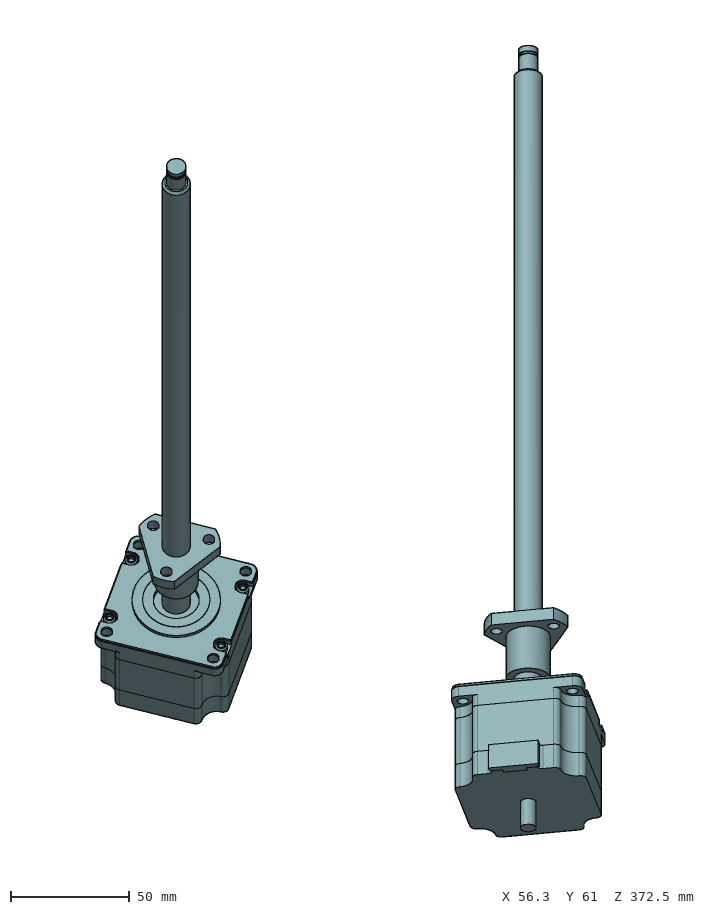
import cadquery as cq
import math

motor_width = 56.3
half_width = motor_width / 2
motor_bottom = 12.3
rear_cover_top = 23.5
front_cover_bottom = 45.5
motor_top = 56.5
flange_thickness = 6.0
flange_bottom = motor_top - flange_thickness
flange_corner_radius = 3.7

plate_thickness = 1.0
plate_inset = 0.5
plate_bottom = motor_top - plate_thickness

wall_half_length = 16.5
lobe_radius = 2.5

pilot_radius = 18.5
pilot_height = 1.5
pilot_top = motor_top + pilot_height
pilot_ring_radius = 14.0
pilot_ring_depth = 0.2
bore_radius = 9.7
bore_depth = 2.2
mount_hole_diameter = 5.0
mount_hole_offset = 23.5
tapped_hole_diameter = 4.5
tapped_hole_depth = 4.5
tapped_hole_near = 9.5
tapped_hole_far = 23.0

screw_x = 24.5
screw_y = 15.5
screw_slot_radius = 3.5
screw_slot_depth = 3.5
screw_head_radius = 2.5
screw_head_height = 3.0
screw_head_chamfer = 0.7
screw_socket_width = 2.5
screw_socket_depth = 1.5

connector_width = 21.2
boss_width = 19.5
overall_depth = 61.0
connector_face = overall_depth - half_width
connector_back = 30.0
connector_height = rear_cover_top - motor_bottom
tongue_width = 10.5
boss_fillet = connector_back - half_width

shaft_top = 372.5
lead_screw_radius = 6.0
lead_screw_top = 361.0
lead_screw_bottom = pilot_top - bore_depth
lead_screw_chamfer = 1.0
journal_radius = 4.0
groove_radius = 3.7
groove_width = 1.0
groove_top = 370.0
rear_shaft_radius = 3.5

nut_bottom = 71.5
nut_flange_bottom = 91.5
nut_flange_top = 97.2
nut_sleeve_radius = 9.5
nut_flange_radius = 18.5
nut_flat_distance = 13.0
nut_hole_circle_radius = 14.0
nut_hole_diameter = 5.0
nut_hole_angles = (30, 150, 270)


def cylinder(radius, bottom, top):
    return cq.Workplane("XY").workplane(offset=bottom).circle(radius).extrude(top - bottom)


def corners(x, y):
    return [(sx * x, sy * y) for sx in (-1, 1) for sy in (-1, 1)]


def fluted_block(bottom, top):
    """Square block whose corners are cut by concave flutes between rounded lobes."""
    lobe_tip = wall_half_length + lobe_radius
    flute_centre = half_width - lobe_radius
    lobe_diagonal = lobe_radius * math.sqrt(0.5)
    flute_diagonal = (flute_centre - lobe_tip) * math.sqrt(0.5)
    corner = [
        (half_width, wall_half_length),
        (flute_centre + lobe_diagonal, wall_half_length + lobe_diagonal),
        (flute_centre, lobe_tip),
        (flute_centre - flute_diagonal, flute_centre - flute_diagonal),
        (lobe_tip, flute_centre),
        (wall_half_length + lobe_diagonal, flute_centre + lobe_diagonal),
        (wall_half_length, half_width),
    ]
    outline = cq.Workplane("XY").workplane(offset=bottom).moveTo(half_width, -wall_half_length)
    for quarter in range(4):
        turn = math.radians(90 * quarter)
        points = [
            (x * math.cos(turn) - y * math.sin(turn), x * math.sin(turn) + y * math.cos(turn))
            for x, y in corner
        ]
        outline = outline.lineTo(*points[0])
        for arc_start in (0, 2, 4):
            outline = outline.threePointArc(points[arc_start + 1], points[arc_start + 2])
    return outline.close().extrude(top - bottom)


def rounded_square(width, corner_radius, bottom, top):
    return (
        cq.Workplane("XY").workplane(offset=bottom)
        .rect(width, width).extrude(top - bottom)
        .edges("|Z").fillet(corner_radius)
    )


def connector_tongue():
    return (
        cq.Workplane("XY").workplane(offset=motor_bottom)
        .center(0, (half_width + connector_back) / 2)
        .rect(tongue_width, connector_back - half_width).extrude(connector_height)
    )


def connector_boss():
    """Boss on the +Y wall, flared into the wall on both sides and slotted for the tongue."""
    half = boss_width / 2
    bend = boss_fillet * (1 - math.sqrt(0.5))
    boss = (
        cq.Workplane("XY").workplane(offset=motor_bottom)
        .moveTo(-half, connector_back)
        .threePointArc((-half - bend, half_width + bend), (-half - boss_fillet, half_width))
        .lineTo(half + boss_fillet, half_width)
        .threePointArc((half + bend, half_width + bend), (half, connector_back))
        .close().extrude(connector_height)
    )
    return boss.cut(connector_tongue())


def corner_holes(bottom, top):
    return (
        cq.Workplane("XY").workplane(offset=bottom)
        .pushPoints(corners(mount_hole_offset, mount_hole_offset))
        .circle(mount_hole_diameter / 2).extrude(top - bottom)
    )


def screw_slots():
    """U-shaped slots, open to the -X and +X edges of the flange."""
    floor = motor_top - screw_slot_depth
    mouth_length = half_width - screw_x
    slots = cq.Workplane("XY")
    for x, y in corners(screw_x, screw_y):
        outward = math.copysign(1, x)
        round_end = cylinder(screw_slot_radius, floor, motor_top).translate((x, y, 0))
        mouth = (
            cq.Workplane("XY").workplane(offset=floor)
            .center(x + outward * mouth_length / 2, y)
            .rect(mouth_length, 2 * screw_slot_radius).extrude(screw_slot_depth)
        )
        slots = slots.add(round_end.union(mouth).val())
    return slots.combine()


def screw_heads():
    """Heads standing on the slot floors, each with a chamfered rim and a hexagon socket."""
    floor = motor_top - screw_slot_depth
    head_top = floor + screw_head_height
    head = cylinder(screw_head_radius, floor, head_top).faces(">Z").edges().chamfer(screw_head_chamfer)
    socket = (
        cq.Workplane("XY").workplane(offset=head_top - screw_socket_depth)
        .polygon(6, screw_socket_width, circumscribed=True).extrude(screw_socket_depth)
    )
    head = head.cut(socket)
    return [head.translate((x, y, 0)) for x, y in corners(screw_x, screw_y)]


def build_front_cover():
    cover = fluted_block(front_cover_bottom, flange_bottom)
    cover = cover.union(rounded_square(motor_width, flange_corner_radius, flange_bottom, plate_bottom))
    cover = cover.union(cylinder(pilot_radius, plate_bottom, pilot_top))
    cover = cover.cut(cylinder(pilot_ring_radius, pilot_top - pilot_ring_depth, pilot_top))
    cover = cover.cut(cylinder(bore_radius, front_cover_bottom, pilot_top))
    tapped_places = corners(tapped_hole_near, tapped_hole_far) + corners(tapped_hole_far, tapped_hole_near)
    tapped_holes = (
        cq.Workplane("XY").workplane(offset=plate_bottom - tapped_hole_depth)
        .pushPoints(tapped_places)
        .circle(tapped_hole_diameter / 2).extrude(tapped_hole_depth)
    )
    cover = cover.cut(corner_holes(flange_bottom, plate_bottom)).cut(tapped_holes).cut(screw_slots())
    for head in screw_heads():
        cover = cover.union(head)
    return cover


def build_front_plate():
    """Thin plate on the flange, fitted around the pilot and covering the tapped holes."""
    plate = rounded_square(
        motor_width - 2 * plate_inset, flange_corner_radius - plate_inset, plate_bottom, motor_top
    )
    plate = plate.cut(cylinder(pilot_radius, plate_bottom, motor_top))
    return plate.cut(corner_holes(plate_bottom, motor_top)).cut(screw_slots())


def build_bearing():
    """Ring in the bore of the front cover, around the rear shaft and under the lead screw."""
    bearing = cylinder(bore_radius, front_cover_bottom, lead_screw_bottom)
    return bearing.cut(cylinder(rear_shaft_radius, front_cover_bottom, lead_screw_bottom))


def build_stator():
    stator = fluted_block(rear_cover_top, front_cover_bottom)
    return stator.cut(cylinder(rear_shaft_radius, rear_cover_top, front_cover_bottom))


def build_rear_cover():
    cover = fluted_block(motor_bottom, rear_cover_top).union(connector_boss())
    return cover.cut(cylinder(rear_shaft_radius, motor_bottom, rear_cover_top))


def build_connector():
    """T-shaped plug: a plate against the boss and a tongue filling the slot of the boss."""
    plate_depth = connector_face - connector_back
    plate = (
        cq.Workplane("XY").workplane(offset=motor_bottom)
        .center(0, connector_back + plate_depth / 2)
        .rect(connector_width, plate_depth).extrude(connector_height)
    )
    return plate.union(connector_tongue())


def build_lead_screw():
    thread = cylinder(lead_screw_radius, lead_screw_bottom, lead_screw_top)
    thread = thread.faces(">Z").chamfer(lead_screw_chamfer)
    journal = cylinder(journal_radius, lead_screw_top, shaft_top)
    groove = cylinder(journal_radius, groove_top - groove_width, groove_top)
    groove = groove.cut(cylinder(groove_radius, groove_top - groove_width, groove_top))
    rear_shaft = cylinder(rear_shaft_radius, 0, lead_screw_bottom)
    return thread.union(journal).union(rear_shaft).cut(groove)


def build_nut():
    flange = cylinder(nut_flange_radius, nut_flange_bottom, nut_flange_top)
    trim = (
        cq.Workplane("XY").workplane(offset=nut_flange_bottom)
        .transformed(rotate=(0, 0, nut_hole_angles[0]))
        .polygon(3, 4 * nut_flat_distance).extrude(nut_flange_top - nut_flange_bottom)
    )
    hole_places = [
        (
            nut_hole_circle_radius * math.cos(math.radians(angle)),
            nut_hole_circle_radius * math.sin(math.radians(angle)),
        )
        for angle in nut_hole_angles
    ]
    holes = (
        cq.Workplane("XY").workplane(offset=nut_flange_bottom)
        .pushPoints(hole_places)
        .circle(nut_hole_diameter / 2).extrude(nut_flange_top - nut_flange_bottom)
    )
    nut = flange.intersect(trim).cut(holes)
    nut = nut.union(cylinder(nut_sleeve_radius, nut_bottom, nut_flange_bottom))
    return nut.cut(cylinder(lead_screw_radius, nut_bottom, nut_flange_top))


front_cover = build_front_cover()
front_plate = build_front_plate()
bearing = build_bearing()
stator = build_stator()
rear_cover = build_rear_cover()
connector = build_connector()
lead_screw = build_lead_screw()
nut = build_nut()

bodies = [front_cover, front_plate, bearing, stator, rear_cover, connector, lead_screw, nut]
result = cq.Compound.makeCompound([body.solids().val() for body in bodies])